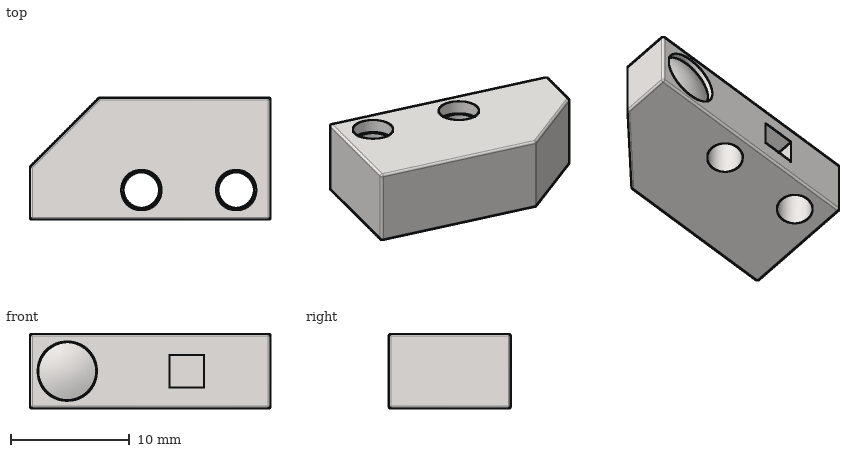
import cadquery as cq

LENGTH = 20.3
WIDTH = 10.3
HEIGHT = 6.3
CORNER_CUT = 5.84
EDGE_RADIUS = 0.2
MID_HEIGHT = HEIGHT / 2

HOLE_DIAMETER = 3.0
COUNTERBORE_DIAMETER = 3.4
COUNTERBORE_DEPTH = 1.15
FIRST_HOLE_X = 9.4
HOLE_SPACING = 8.0
HOLE_Y = 2.5

POCKET_WIDTH = 2.9
POCKET_HEIGHT = 2.75
POCKET_DEPTH = 5.0
POCKET_X = 13.22

RECESS_DIAMETER = 5.0
RECESS_X = 3.15
RECESS_DEPTH = 0.5
DOME_DIAMETER = 4.9


def make_block():
    """Block with one corner cut at 45 degrees and every outer edge rounded."""
    outline = [
        (0, 0),
        (LENGTH, 0),
        (LENGTH, WIDTH),
        (CORNER_CUT, WIDTH),
        (0, WIDTH - CORNER_CUT),
    ]
    block = cq.Workplane("XY").polyline(outline).close().extrude(HEIGHT)
    return block.edges().fillet(EDGE_RADIUS)


def make_stepped_hole(x):
    """Through hole with a shallow counterbore from the top face."""
    bore = cq.Workplane("XY").center(x, HOLE_Y).circle(HOLE_DIAMETER / 2).extrude(HEIGHT)
    counterbore = (
        cq.Workplane("XY", origin=(x, HOLE_Y, HEIGHT))
        .circle(COUNTERBORE_DIAMETER / 2)
        .extrude(-COUNTERBORE_DEPTH)
    )
    return bore.union(counterbore)


def make_pocket():
    """Blind rectangular pocket entering from the -Y face."""
    return (
        cq.Workplane("XZ", origin=(POCKET_X, 0, MID_HEIGHT))
        .rect(POCKET_WIDTH, POCKET_HEIGHT)
        .extrude(-POCKET_DEPTH)
    )


def make_domed_recess():
    """Slightly tapered recess whose floor bulges out as a spherical cap level with the face."""
    dome_radius = DOME_DIAMETER / 2
    sphere_radius = (dome_radius**2 + RECESS_DEPTH**2) / (2 * RECESS_DEPTH)
    frustum = (
        cq.Workplane("XZ", origin=(RECESS_X, 0, MID_HEIGHT))
        .circle(RECESS_DIAMETER / 2)
        .workplane(offset=-RECESS_DEPTH)
        .circle(dome_radius)
        .loft()
    )
    sphere = cq.Workplane("XZ", origin=(RECESS_X, sphere_radius, MID_HEIGHT)).sphere(sphere_radius)
    return frustum.cut(sphere)


result = make_block()
for hole_x in (FIRST_HOLE_X, FIRST_HOLE_X + HOLE_SPACING):
    result = result.cut(make_stepped_hole(hole_x))
result = result.cut(make_pocket())
result = result.cut(make_domed_recess())